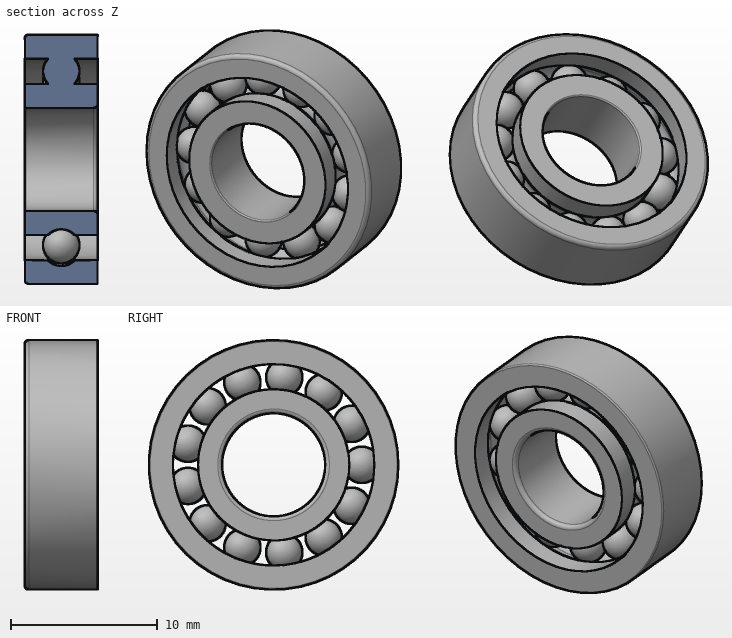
import cadquery as cq
import math

WIDTH = 5.0
OUTER_DIAMETER = 17.0
BORE_DIAMETER = 7.0
PITCH_DIAMETER = (OUTER_DIAMETER + BORE_DIAMETER) / 2
RING_GAP = 1.7
BALL_COUNT = 13
BALL_RADIUS = 1.25
BALL_OVERLAP = 0.01
LARGE_EDGE_RADIUS = 0.3
SMALL_EDGE_RADIUS = 0.1

PITCH_RADIUS = PITCH_DIAMETER / 2
OUTER_RING_BORE_RADIUS = PITCH_RADIUS + RING_GAP / 2
INNER_RING_RADIUS = PITCH_RADIUS - RING_GAP / 2
RACE_RADIUS = BALL_RADIUS - BALL_OVERLAP


def make_ring(outer_radius, inner_radius):
    """Plain ring about the X axis."""
    return (
        cq.Workplane("YZ")
        .workplane(offset=-WIDTH / 2)
        .circle(outer_radius)
        .circle(inner_radius)
        .extrude(WIDTH)
    )


def edges_of_radius(ring, face_selector, radius):
    """Circular edges of the given radius on one end face of a ring."""
    tolerance = 1e-4
    return ring.faces(face_selector).edges().filter(
        lambda edge: abs(edge.radius() - radius) < tolerance
    )


def make_race_torus():
    """Torus that cuts the ball groove into both rings."""
    return cq.Workplane("XY").add(
        cq.Solid.makeTorus(PITCH_RADIUS, RACE_RADIUS, cq.Vector(0, 0, 0), cq.Vector(1, 0, 0))
    )


def make_outer_ring():
    outer_radius = OUTER_DIAMETER / 2
    ring = make_ring(outer_radius, OUTER_RING_BORE_RADIUS)
    ring = edges_of_radius(ring, "<X", outer_radius).fillet(LARGE_EDGE_RADIUS)
    ring = edges_of_radius(ring, ">X", outer_radius).fillet(SMALL_EDGE_RADIUS)
    return ring.cut(make_race_torus())


def make_inner_ring():
    bore_radius = BORE_DIAMETER / 2
    ring = make_ring(INNER_RING_RADIUS, bore_radius)
    ring = edges_of_radius(ring, "<X", bore_radius).fillet(SMALL_EDGE_RADIUS)
    ring = edges_of_radius(ring, ">X", bore_radius).fillet(LARGE_EDGE_RADIUS)
    return ring.cut(make_race_torus())


def make_ball(index):
    """Ball on the pitch circle; ball 0 sits on the +Y axis."""
    angle = 2 * math.pi * index / BALL_COUNT
    center = (0, PITCH_RADIUS * math.cos(angle), PITCH_RADIUS * math.sin(angle))
    return cq.Workplane("XY").sphere(BALL_RADIUS).translate(center)


bearing = make_outer_ring()
for ball_index in range(BALL_COUNT):
    bearing = bearing.union(make_ball(ball_index))
bearing = bearing.union(make_inner_ring())

result = bearing